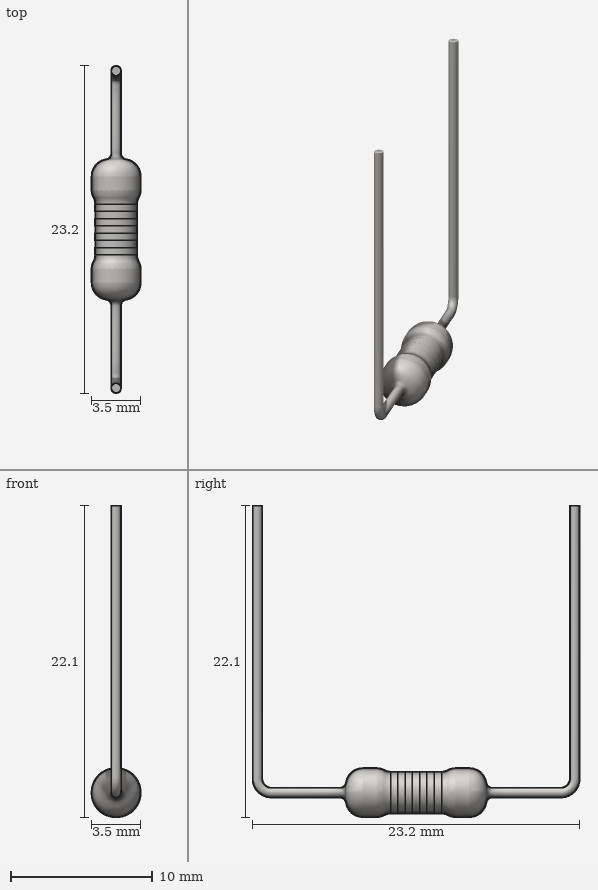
import cadquery as cq
import math


lead_diameter = 0.7
lead_pitch = 22.5
lead_top = 20.35
bend_radius = 1.0

body_diameter = 3.5
body_length = 10.0
dome_radius = 1.25
neck_fillet = 0.4

waist_diameter = 2.98
waist_length = 3.6
blend_length = 1.0

band_diameter = 3.0
band_width = 0.5
band_count = 4

lead_radius = lead_diameter / 2
body_radius = body_diameter / 2
waist_radius = waist_diameter / 2


def point_on_arc(centre, radius, angle):
    """Point at an angle in degrees, in (radial, axial) coordinates."""
    radial = centre[0] + radius * math.cos(math.radians(angle))
    axial = centre[1] + radius * math.sin(math.radians(angle))
    return radial, axial


def make_bulge():
    """Revolve the +Y end of the body, from the waist to the neck on the lead."""
    waist_end = waist_length / 2
    blend_end = waist_end + blend_length

    half_rise = (body_radius - waist_radius) / 2
    half_run = blend_length / 2
    blend_radius = (half_run**2 + half_rise**2) / (2 * half_rise)
    half_sweep = math.degrees(math.asin(half_run / blend_radius)) / 2
    concave_centre = (waist_radius + blend_radius, waist_end)
    convex_centre = (body_radius - blend_radius, blend_end)
    concave_mid = point_on_arc(concave_centre, blend_radius, 180 - half_sweep)
    convex_mid = point_on_arc(convex_centre, blend_radius, -half_sweep)
    inflection = (waist_radius + half_rise, waist_end + half_run)

    dome_centre = (body_radius - dome_radius, body_length / 2 - dome_radius)
    neck_radial = lead_radius + neck_fillet
    radial_offset = neck_radial - dome_centre[0]
    axial_offset = math.sqrt((dome_radius + neck_fillet) ** 2 - radial_offset**2)
    neck_centre = (neck_radial, dome_centre[1] + axial_offset)
    contact_angle = math.degrees(math.atan2(axial_offset, radial_offset))
    dome_mid = point_on_arc(dome_centre, dome_radius, contact_angle / 2)
    dome_end = point_on_arc(dome_centre, dome_radius, contact_angle)
    neck_mid = point_on_arc(neck_centre, neck_fillet, 180 + contact_angle / 2)

    return (
        cq.Workplane("XY")
        .moveTo(0, waist_end)
        .lineTo(waist_radius, waist_end)
        .threePointArc(concave_mid, inflection)
        .threePointArc(convex_mid, (body_radius, blend_end))
        .lineTo(body_radius, dome_centre[1])
        .threePointArc(dome_mid, dome_end)
        .threePointArc(neck_mid, (lead_radius, neck_centre[1]))
        .lineTo(0, neck_centre[1])
        .close()
        .revolve(360, (0, 0, 0), (0, 1, 0))
    )


def make_disc(start, length, diameter):
    """Cylinder about the Y axis, running towards +Y from the given start."""
    return (
        cq.Workplane("XZ", origin=(0, start, 0))
        .circle(diameter / 2)
        .extrude(-length)
    )


def make_waist():
    """Straight waist with colour bands spread evenly from end to end."""
    waist_start = -waist_length / 2
    spacing = (waist_length - band_width) / (band_count - 1)
    waist = make_disc(waist_start, waist_length, waist_diameter)
    for index in range(band_count):
        band_start = waist_start + index * spacing
        waist = waist.union(make_disc(band_start, band_width, band_diameter))
    return waist


def make_leads():
    """One wire through the body, bent up at both ends."""
    half_pitch = lead_pitch / 2
    bend_start = half_pitch - bend_radius
    bend_mid_y = bend_start + bend_radius * math.sin(math.pi / 4)
    bend_mid_z = bend_radius * (1 - math.cos(math.pi / 4))
    path = (
        cq.Workplane("YZ")
        .moveTo(-half_pitch, lead_top)
        .lineTo(-half_pitch, bend_radius)
        .threePointArc((-bend_mid_y, bend_mid_z), (-bend_start, 0))
        .lineTo(bend_start, 0)
        .threePointArc((bend_mid_y, bend_mid_z), (half_pitch, bend_radius))
        .lineTo(half_pitch, lead_top)
    )
    return (
        cq.Workplane("XY", origin=(0, -half_pitch, lead_top))
        .circle(lead_radius)
        .sweep(path)
    )


bulge = make_bulge()
body = make_waist().union(bulge).union(bulge.mirror("XZ"))
result = body.union(make_leads())